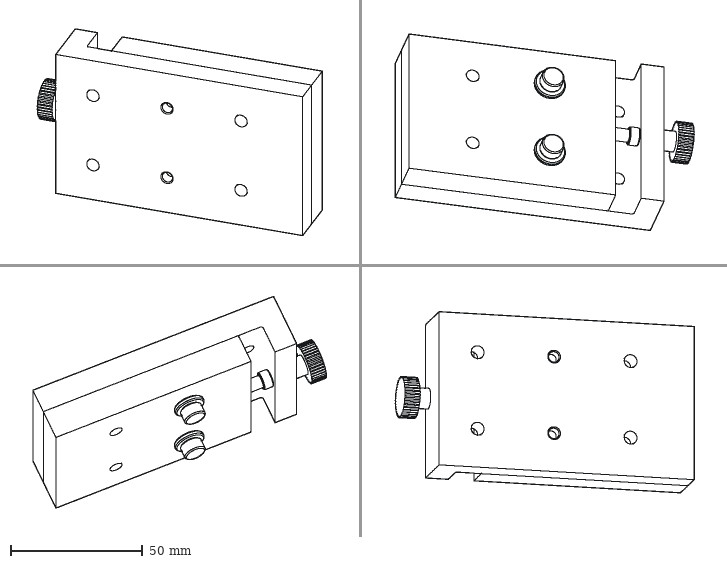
import cadquery as cq
import math

base_length = 100.0
base_height = 60.0
base_thickness = 10.0
wall_thickness = 9.0
wall_depth = 22.0
inner_corner_radius = 1.0

slider_gap = 10.0
slider_start = wall_thickness + slider_gap
slider_length = base_length - slider_start
slider_thickness = wall_depth - base_thickness

mid_height = base_height / 2
row_offset = 15.0
row_heights = [mid_height - row_offset, mid_height + row_offset]
column_spacing = 30.0
clamp_column = 45.1
mounting_columns = [clamp_column - column_spacing, clamp_column + column_spacing]
mounting_diameter = 5.0

shank_diameter = 4.1
shank_recess = 5.0
thread_mouth_diameter = 5.0
flange_diameter = 12.0
flange_rim_diameter = 11.1
flange_bevel_height = 0.5
flange_thickness = 2.0
head_diameter = 8.5
head_rim_diameter = 7.5
head_height = 5.0

knob_diameter = 15.8
knob_thickness = 6.0
knurl_count = 40
knurl_depth = 0.4
neck_diameter = 8.0
neck_length = 5.0
neck_edge_distance = 0.5
collar_diameter = 7.0
collar_length = 4.0
collar_chamfer = 0.3
rod_diameter = 5.0
rod_engagement = 10.0
thumb_axis_y = wall_depth - neck_edge_distance - neck_diameter / 2


def thumb_plane(x):
    """Workplane across the thumb screw axis, facing +X."""
    return cq.Workplane(cq.Plane((x, thumb_axis_y, mid_height), xDir=(0, 1, 0), normal=(1, 0, 0)))


def cylinder_along_x(start, length, diameter):
    """Cylinder on the thumb screw axis."""
    return thumb_plane(start).circle(diameter / 2).extrude(length)


def cylinders_along_y(columns, diameter):
    """Cylinders through the whole depth at every crossing of the columns and hole rows."""
    centers = [(x, -z) for x in columns for z in row_heights]
    plane = cq.Plane((0, 0, 0), xDir=(1, 0, 0), normal=(0, 1, 0))
    return cq.Workplane(plane).pushPoints(centers).circle(diameter / 2).extrude(wall_depth)


def turn_on_clamp_axis(profile, height):
    """Solid turned about a clamp screw axis; profile points are radius and depth along Y."""
    turned = cq.Workplane("XY").polyline(profile).close().revolve(360, (0, 0, 0), (0, 1, 0))
    return turned.translate((clamp_column, 0, height))


def make_countersink(height):
    """45 degree cone that opens the mouth of a clamp screw hole."""
    depth = (thread_mouth_diameter - shank_diameter) / 2
    profile = [(0, 0), (thread_mouth_diameter / 2, 0), (shank_diameter / 2, depth), (0, depth)]
    return turn_on_clamp_axis(profile, height)


def make_base():
    """L-shaped plate with a rounded inner corner, its through holes and countersinks."""
    outline = (
        cq.Workplane("XY")
        .lineTo(base_length, 0)
        .lineTo(base_length, base_thickness)
        .lineTo(wall_thickness + inner_corner_radius, base_thickness)
        .radiusArc((wall_thickness, base_thickness + inner_corner_radius), inner_corner_radius)
        .lineTo(wall_thickness, wall_depth)
        .lineTo(0, wall_depth)
        .close()
    )
    base = (
        outline.extrude(base_height)
        .cut(cylinders_along_y(mounting_columns, mounting_diameter))
        .cut(cylinders_along_y([clamp_column], shank_diameter))
        .cut(cylinder_along_x(0, wall_thickness, rod_diameter))
    )
    for height in row_heights:
        base = base.cut(make_countersink(height))
    return base


def make_slider():
    """Block with the matching through holes and a blind hole for the rod."""
    return (
        cq.Workplane("XY")
        .box(slider_length, slider_thickness, base_height, centered=False)
        .translate((slider_start, base_thickness, 0))
        .cut(cylinders_along_y(mounting_columns, mounting_diameter))
        .cut(cylinders_along_y([clamp_column], shank_diameter))
        .cut(cylinder_along_x(slider_start, rod_engagement, rod_diameter))
    )


def make_clamp_screw(height):
    """Screw whose flange and head are bevelled at both ends."""
    head_chamfer = (head_diameter - head_rim_diameter) / 2
    flange_top = wall_depth + flange_thickness
    head_top = flange_top + head_height
    profile = [
        (0, shank_recess),
        (shank_diameter / 2, shank_recess),
        (shank_diameter / 2, wall_depth),
        (flange_rim_diameter / 2, wall_depth),
        (flange_diameter / 2, wall_depth + flange_bevel_height),
        (flange_diameter / 2, flange_top - flange_bevel_height),
        (flange_rim_diameter / 2, flange_top),
        (head_rim_diameter / 2, flange_top),
        (head_diameter / 2, flange_top + head_chamfer),
        (head_diameter / 2, head_top - head_chamfer),
        (head_rim_diameter / 2, head_top),
        (0, head_top),
    ]
    return turn_on_clamp_axis(profile, height)


def make_knob():
    """Knob with V-shaped ridges and grooves in turn along its rim."""
    ridge_radius = knob_diameter / 2
    groove_radius = ridge_radius - knurl_depth
    points = []
    for i in range(2 * knurl_count):
        radius = ridge_radius if i % 2 else groove_radius
        angle = i * math.pi / knurl_count
        points.append((radius * math.cos(angle), radius * math.sin(angle)))
    return thumb_plane(-neck_length - knob_thickness).polyline(points).close().extrude(knob_thickness)


def make_thumb_screw():
    """Knob, neck and collar on one rod that passes through the wall into the slider."""
    collar = cylinder_along_x(wall_thickness, collar_length, collar_diameter)
    collar = collar.faces("|X").edges().chamfer(collar_chamfer)
    rod_length = slider_start + rod_engagement
    return (
        make_knob()
        .union(cylinder_along_x(-neck_length, neck_length, neck_diameter))
        .union(cylinder_along_x(0, rod_length, rod_diameter))
        .union(collar)
    )


base = make_base()
slider = make_slider()
clamp_screws = [make_clamp_screw(height) for height in row_heights]
thumb_screw = make_thumb_screw()

bodies = [base, slider, *clamp_screws, thumb_screw]
result = cq.Compound.makeCompound([body.val() for body in bodies])